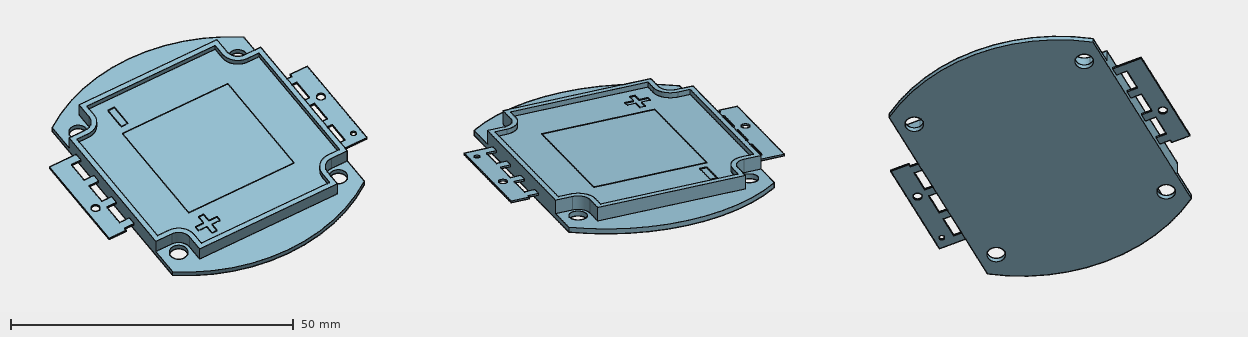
import cadquery as cq

plate_length = 53.0
plate_thickness = 1.0

housing_side = 40.0
total_height = 3.7
wall_thickness = 1.0
pocket_depth = 1.0

screw_hole_diameter = 3.3
screw_hole_inset = 3.35
notch_radius = 2.3

window_side = 22.0
window_depth = 0.1
sign_depth = 0.2
sign_length = 4.5
plus_center_x = 14.95
plus_center_y = -9.5
plus_bar_width = 1.05
minus_center_x = -14.75
minus_center_y = -9.6
minus_bar_width = 1.4

total_width = 51.2
lead_bottom = 1.2
lead_thickness = 0.35
lead_strip_length = 19.8
lead_strip_start = -12.05
leg_count = 4
leg_width = 1.6
leg_pitch = 5.9
leg_length = 2.0
lead_hole_diameter = 1.6
lead_hole_x = 0.5
lead_hole_reach = 3.8
marker_hole_diameter = 1.0
marker_hole_x = 9.9
marker_hole_reach = 4.1

half_side = housing_side / 2
screw_hole_center = half_side - screw_hole_inset
floor_height = total_height - pocket_depth


def block(length, width, height, x, y, bottom):
    """Box centred on x, y and standing on the given height."""
    return (
        cq.Workplane("XY")
        .box(length, width, height, centered=(True, True, False))
        .translate((x, y, bottom))
    )


def base_plate():
    half_length = plate_length / 2
    plate = (
        cq.Workplane("XY")
        .moveTo(-half_side, -half_side)
        .lineTo(half_side, -half_side)
        .threePointArc((half_length, 0), (half_side, half_side))
        .lineTo(-half_side, half_side)
        .threePointArc((-half_length, 0), (-half_side, -half_side))
        .close()
        .extrude(plate_thickness)
    )
    screw_holes = (
        cq.Workplane("XY")
        .rect(2 * screw_hole_center, 2 * screw_hole_center, forConstruction=True)
        .vertices()
        .circle(screw_hole_diameter / 2)
        .extrude(plate_thickness)
    )
    return plate.cut(screw_holes)


def notched_square(inset, bottom, top):
    """Square prism, drawn in by inset, with a rounded notch at each corner."""
    side = housing_side - 2 * inset
    radius = notch_radius + inset
    height = top - bottom
    prism = block(side, side, height, 0, 0, bottom)
    notch_side = 2 * (screw_hole_inset + radius)
    notch_center = screw_hole_center - radius + notch_side / 2
    for x_side in (-1, 1):
        for y_side in (-1, 1):
            notch = block(notch_side, notch_side, height, 0, 0, bottom).edges("|Z").fillet(radius)
            prism = prism.cut(notch.translate((x_side * notch_center, y_side * notch_center, 0)))
    return prism


def housing():
    outside = notched_square(0, plate_thickness, total_height)
    pocket = notched_square(wall_thickness, floor_height, total_height)
    return outside.cut(pocket)


def floor_recesses():
    sign_bottom = floor_height - sign_depth
    window = block(window_side, window_side, window_depth, 0, 0, floor_height - window_depth)
    minus = block(sign_length, minus_bar_width, sign_depth, minus_center_x, minus_center_y, sign_bottom)
    plus_across = block(sign_length, plus_bar_width, sign_depth, plus_center_x, plus_center_y, sign_bottom)
    plus_upright = block(plus_bar_width, sign_length, sign_depth, plus_center_x, plus_center_y, sign_bottom)
    return window.union(minus).union(plus_across).union(plus_upright)


def lead_hole(diameter, x, reach):
    """Hole through the lead at a given reach in front of the housing."""
    return (
        cq.Workplane("XY", origin=(x, -half_side - reach, lead_bottom))
        .circle(diameter / 2)
        .extrude(lead_thickness)
    )


def front_lead():
    strip_width = total_width / 2 - half_side - leg_length
    strip_x = lead_strip_start + lead_strip_length / 2
    strip_y = -total_width / 2 + strip_width / 2
    lead = block(lead_strip_length, strip_width, lead_thickness, strip_x, strip_y, lead_bottom)
    for index in range(leg_count):
        leg_x = lead_strip_start + leg_width / 2 + index * leg_pitch
        leg_y = -half_side - leg_length / 2
        lead = lead.union(block(leg_width, leg_length, lead_thickness, leg_x, leg_y, lead_bottom))
    return lead.cut(lead_hole(lead_hole_diameter, lead_hole_x, lead_hole_reach))


def back_lead():
    """The front lead turned half a turn about Z, with one more small hole."""
    marker_hole = lead_hole(marker_hole_diameter, -marker_hole_x, marker_hole_reach)
    return front_lead().cut(marker_hole).rotate((0, 0, 0), (0, 0, 1), 180)


result = (
    base_plate()
    .union(housing())
    .cut(floor_recesses())
    .union(front_lead())
    .union(back_lead())
)